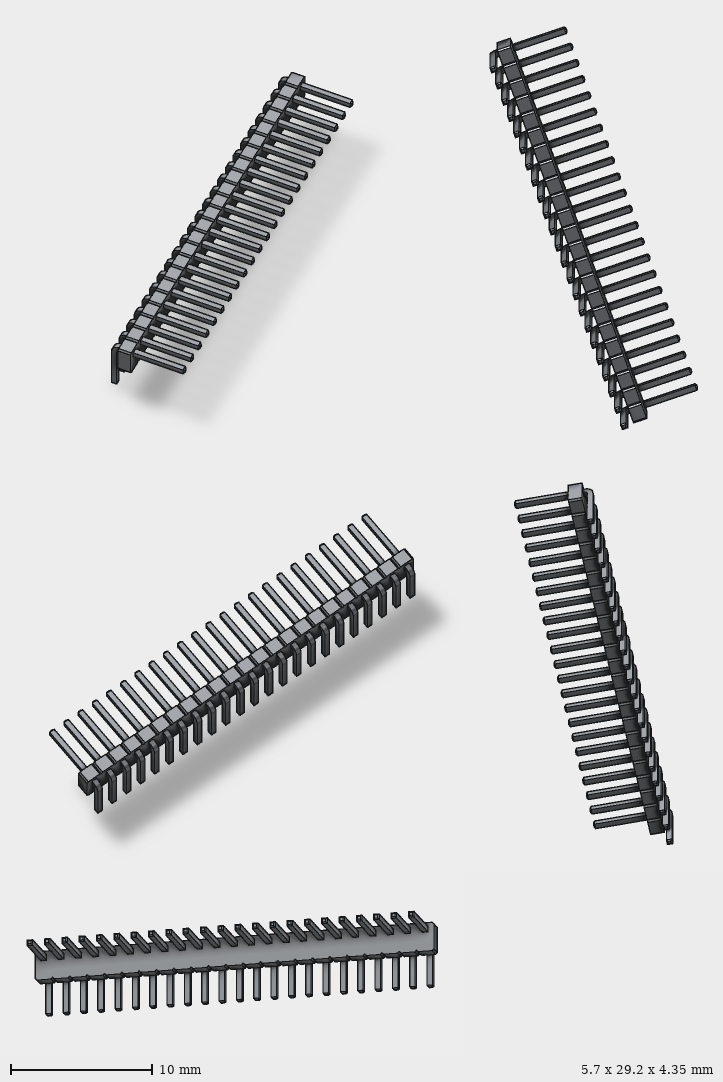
import cadquery as cq

PIN_COUNT = 23
BODY_LENGTH = 29.2
PITCH = BODY_LENGTH / PIN_COUNT
BODY_WIDTH = 1.0
BODY_HEIGHT = 2.1
BODY_CHAMFER = 0.125

PIN_SIZE = 0.4
PIN_REACH = 5.7
BODY_OFFSET = 0.7
TOP_TO_PIN = 0.3
OVERALL_HEIGHT = 4.35
BEND_INNER_RADIUS = 0.2
TIP_CHAMFER = 0.1

PIN_DROP = OVERALL_HEIGHT - TOP_TO_PIN
BEND_CENTRE_RADIUS = BEND_INNER_RADIUS + PIN_SIZE / 2
LEG_CENTRE_X = PIN_SIZE / 2
ARM_CENTRE_Z = PIN_DROP - PIN_SIZE / 2
FIRST_PIN_Y = (PITCH - BODY_LENGTH) / 2


def make_segment():
    """One housing block with chamfers that form V notches between neighbours."""
    return (
        cq.Workplane("XY")
        .box(BODY_WIDTH, PITCH, BODY_HEIGHT, centered=(False, True, False))
        .edges("|X")
        .chamfer(BODY_CHAMFER)
        .translate((BODY_OFFSET, 0, OVERALL_HEIGHT - BODY_HEIGHT))
    )


def make_pin():
    """A square right-angle pin with a leg along Z, an arm along X and tapered tips."""
    bend_start_z = ARM_CENTRE_Z - BEND_CENTRE_RADIUS
    bend_end_x = LEG_CENTRE_X + BEND_CENTRE_RADIUS
    path = (
        cq.Workplane("XZ")
        .moveTo(LEG_CENTRE_X, 0)
        .lineTo(LEG_CENTRE_X, bend_start_z)
        .tangentArcPoint((bend_end_x, ARM_CENTRE_Z), relative=False)
        .lineTo(PIN_REACH, ARM_CENTRE_Z)
    )
    pin = cq.Workplane("XY").center(LEG_CENTRE_X, 0).rect(PIN_SIZE, PIN_SIZE).sweep(path)
    pin = pin.faces("<Z").chamfer(TIP_CHAMFER)
    return pin.faces(">X").chamfer(TIP_CHAMFER)


position = make_segment().union(make_pin())
result = position.translate((0, FIRST_PIN_Y, 0))
for index in range(1, PIN_COUNT):
    result = result.union(position.translate((0, FIRST_PIN_Y + index * PITCH, 0)))
result = result.clean()